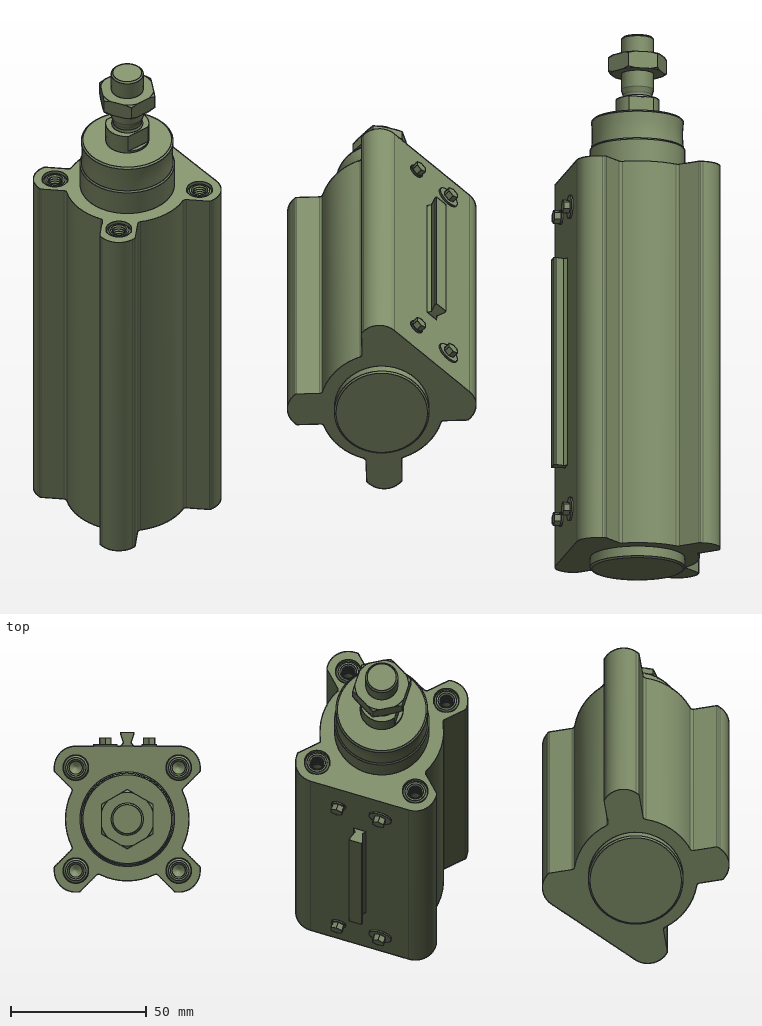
import cadquery as cq
import math


total_height = 202.0

profile_side = 54.0
profile_bottom = 4.2
profile_top = 149.5
barrel_diameter = 45.6
screw_offset = 19.0
lobe_width = 13.1
lobe_outer_fillet = 0.8
lobe_inner_fillet = 1.2

collar_diameter = 35.0
collar_step = 159.7
collar_top = 170.5
cap_diameter = 34.0
cap_waist_diameter = 33.3
collar_edge = 0.6
cap_edge = 0.6

screw_gap_diameter = 9.5
screw_gap_depth = 4.0
screw_head_diameter = 9.0
screw_head_recess = 0.5
screw_head_edge = 0.8
thread_major_diameter = 6.0
drill_diameter = 4.8
thread_pitch = 1.0
thread_turns = 8
drill_depth = 12.1
drill_tip_angle = 118.0

rail_height = 5.0
rail_length = 78.7
rail_top_width = 4.8
rail_neck_width = 2.8
rail_base_width = 4.8
rail_lip = 0.8
rail_foot = 1.2

fitting_offset_x = 8.0
fitting_end_distance = 15.1
fitting_height = 3.0
fitting_hex_corners = 4.8
flange_height = 0.6
port_flange_diameter = 8.7
screw_flange_diameter = 5.5

rod_diameter = 16.0
rod_flats = 13.0
rod_shoulder = 178.0
flats_clearance = 0.8
thread_diameter = 12.0
thread_bottom = 182.1
thread_edge = 0.6
neck_diameter = 10.7
neck_top = 180.0
neck_foot_height = 1.0
neck_foot_diameter = 11.5

nut_flats = 19.0
nut_bottom = 188.2
nut_top = 194.5
nut_chamfer_diameter = 19.8
nut_chamfer_height = 0.6

back_face = profile_side / 2
profile_corner_radius = back_face - screw_offset
profile_height = profile_top - profile_bottom
profile_middle = (profile_bottom + profile_top) / 2
flats_bottom = collar_top + flats_clearance
nut_corners = nut_flats / math.cos(math.pi / 6)


def cylinder(diameter, bottom, top):
    """Vertical cylinder on the rod axis."""
    return cq.Workplane("XY").workplane(offset=bottom).circle(diameter / 2).extrude(top - bottom)


def hexagon_prism(corners, height, plane):
    """Hexagon with corners along the plane's local Y, extruded along its normal."""
    return cq.Workplane(plane).transformed(rotate=(0, 0, 90)).polygon(6, corners).extrude(height)


def profile_block(length, width):
    """Rectangular bar over the full height of the profile."""
    return (
        cq.Workplane("XY")
        .workplane(offset=profile_bottom)
        .rect(length, width)
        .extrude(profile_height)
    )


def fillet_corners(body, along, across, radius):
    """Round the eight vertical edges at (+-along, +-across) and (+-across, +-along)."""
    for x, y in ((along, across), (across, along)):
        for x_sign in (-1, 1):
            for y_sign in (-1, 1):
                middle = (x_sign * x, y_sign * y, profile_middle)
                edge = body.edges("|Z").edges(cq.selectors.NearestToPointSelector(middle))
                body = edge.fillet(radius)
    return body


def make_profile():
    """Extruded barrel with four diagonal screw lobes and a flat back."""
    barrel = cylinder(barrel_diameter, profile_bottom, profile_top)
    bounds = profile_block(profile_side, profile_side).edges("|Z").fillet(profile_corner_radius)
    arm = profile_block(2 * profile_side, lobe_width)
    rising_arm = arm.rotate((0, 0, 0), (0, 0, 1), 45)
    falling_arm = arm.rotate((0, 0, 0), (0, 0, 1), -45)
    profile = barrel.union(rising_arm.union(falling_arm).intersect(bounds))

    outer_across = back_face - lobe_width / math.sqrt(2)
    profile = fillet_corners(profile, back_face, outer_across, lobe_outer_fillet)

    half_width = lobe_width / 2
    reach = math.sqrt((barrel_diameter / 2) ** 2 - half_width**2)
    inner_along = (reach + half_width) / math.sqrt(2)
    inner_across = (reach - half_width) / math.sqrt(2)
    profile = fillet_corners(profile, inner_along, inner_across, lobe_inner_fillet)

    fill_depth = back_face - screw_offset / 2
    fill = profile_block(2 * screw_offset, fill_depth).translate((0, back_face - fill_depth / 2, 0))
    return profile.union(fill)


def make_end_bosses():
    """Stepped collar around the rod and the centring boss below the profile."""
    step_radius = collar_diameter / 2
    cap_radius = cap_diameter / 2
    return (
        cq.Workplane("XZ")
        .moveTo(0, 0)
        .lineTo(step_radius - collar_edge, 0)
        .lineTo(step_radius, collar_edge)
        .lineTo(step_radius, collar_step - collar_edge)
        .lineTo(cap_radius, collar_step)
        .threePointArc(
            (cap_waist_diameter / 2, (collar_step + collar_top) / 2),
            (cap_radius, collar_top - cap_edge),
        )
        .lineTo(cap_radius - cap_edge, collar_top)
        .lineTo(0, collar_top)
        .close()
        .revolve(360, (0, 0), (0, 1))
    )


def make_screw_recess():
    """Recess at the profile top that leaves a chamfered screw head with a tapped blind hole."""
    gap_radius = screw_gap_diameter / 2
    head_radius = screw_head_diameter / 2
    major_radius = thread_major_diameter / 2
    drill_radius = drill_diameter / 2
    tip = drill_radius / math.tan(math.radians(drill_tip_angle / 2))

    points = [
        (0, 0),
        (gap_radius, 0),
        (gap_radius, -screw_gap_depth),
        (head_radius, -screw_gap_depth),
        (head_radius, -screw_head_recess - screw_head_edge),
        (head_radius - screw_head_edge, -screw_head_recess),
    ]
    for turn in range(thread_turns):
        groove = -screw_head_recess - turn * thread_pitch
        points.append((major_radius, groove))
        points.append((drill_radius, groove - thread_pitch / 2))
    drill_end = -screw_head_recess - drill_depth
    points.append((drill_radius, drill_end))
    points.append((0, drill_end - tip))
    recess = cq.Workplane("XZ").polyline(points).close().revolve(360, (0, 0), (0, 1))
    return recess.translate((0, 0, profile_top))


def make_rail():
    """Waisted rail along the middle of the back face."""
    tip = back_face + rail_height
    points = [
        (rail_base_width / 2, back_face),
        (rail_neck_width / 2, back_face + rail_foot),
        (rail_top_width / 2, tip - rail_lip),
        (rail_top_width / 2, tip),
    ]
    mirrored = [(-x, y) for x, y in reversed(points)]
    return (
        cq.Workplane("XY")
        .workplane(offset=profile_middle - rail_length / 2)
        .polyline(points + mirrored)
        .close()
        .extrude(rail_length)
    )


def make_fitting(flange_diameter, x, z):
    """Flanged hexagon plug standing on the back face."""
    plane = cq.Plane(origin=(x, back_face, z), xDir=(1, 0, 0), normal=(0, 1, 0))
    flange = cq.Workplane(plane).circle(flange_diameter / 2).extrude(flange_height)
    plug = hexagon_prism(fitting_hex_corners, fitting_height, plane)
    return flange.union(plug)


def make_housing():
    housing = make_profile().union(make_end_bosses()).union(make_rail())
    for z in (profile_bottom + fitting_end_distance, profile_top - fitting_end_distance):
        housing = housing.union(make_fitting(port_flange_diameter, -fitting_offset_x, z))
        housing = housing.union(make_fitting(screw_flange_diameter, fitting_offset_x, z))
    for x in (-screw_offset, screw_offset):
        for y in (-screw_offset, screw_offset):
            housing = housing.cut(make_screw_recess().translate((x, y, 0)))
    return housing.cut(cylinder(rod_diameter, profile_top, collar_top))


def make_rod():
    """Rod with wrench flats, a relieved neck and a threaded end."""
    shank = cylinder(rod_diameter, profile_top, rod_shoulder)
    flats = (
        cq.Workplane("XY")
        .workplane(offset=flats_bottom)
        .rect(rod_flats, rod_diameter)
        .extrude(rod_shoulder - flats_bottom)
    )
    shank = shank.intersect(flats.union(cylinder(rod_diameter, profile_top, flats_bottom)))
    points = [
        (0, rod_shoulder),
        (neck_foot_diameter / 2, rod_shoulder),
        (neck_diameter / 2, rod_shoulder + neck_foot_height),
        (neck_diameter / 2, neck_top),
        (thread_diameter / 2, thread_bottom),
        (thread_diameter / 2, total_height - thread_edge),
        (thread_diameter / 2 - thread_edge, total_height),
        (0, total_height),
    ]
    end = cq.Workplane("XZ").polyline(points).close().revolve(360, (0, 0), (0, 1))
    return shank.union(end)


def make_nut():
    """Hexagon nut with conical chamfers on both faces."""
    height = nut_top - nut_bottom
    base_plane = cq.Plane(origin=(0, 0, nut_bottom))
    hexagon = hexagon_prism(nut_corners, height, base_plane)
    rounding = cylinder(nut_corners, nut_bottom, nut_top)
    chamfer_width = (nut_corners - nut_chamfer_diameter) / 2
    rounding = rounding.faces("<Z or >Z").chamfer(nut_chamfer_height, chamfer_width)
    return hexagon.intersect(rounding).cut(cylinder(thread_diameter, nut_bottom, nut_top))


housing = make_housing()
rod = make_rod()
nut = make_nut()

result = cq.Compound.makeCompound([housing.val(), rod.val(), nut.val()])